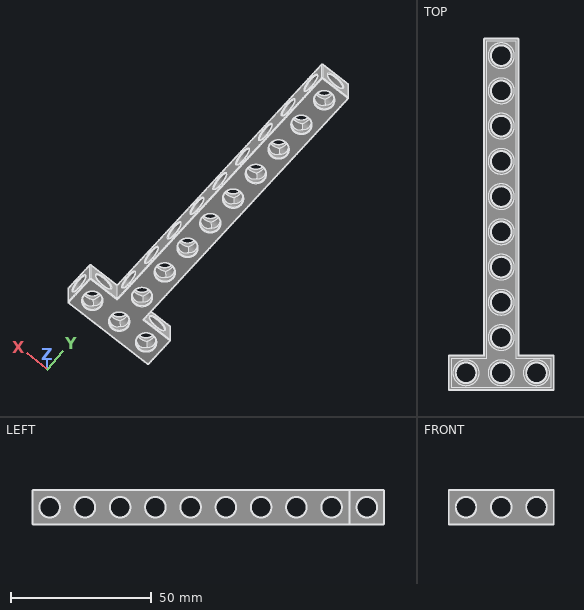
import cadquery as cq

pitch = 12.5
bar_cells = 3
stem_cells = 10
hole_diameter = 7.0
chamfer_size = 0.3
border_width = 1.1
rim_diameter = 9.2
recess_depth = 0.3

half_pitch = pitch / 2
bar_length = bar_cells * pitch
stem_length = stem_cells * pitch
bar_half = bar_length / 2
stem_end = stem_length - half_pitch
hole_radius = hole_diameter / 2
mouth_radius = hole_radius + chamfer_size

bar_centres = [(i * pitch - bar_half + half_pitch, 0) for i in range(bar_cells)]
stem_centres = [(0, i * pitch) for i in range(stem_cells)]
cell_centres = bar_centres + stem_centres[1:]


def tee_prism(inset, bottom, top):
    """T-shaped prism between two heights, its outline moved inwards by inset."""
    stem_half_width = half_pitch - inset
    right_side = [
        (bar_half - inset, -half_pitch + inset),
        (bar_half - inset, half_pitch - inset),
        (stem_half_width, half_pitch - inset),
        (stem_half_width, stem_end - inset),
    ]
    left_side = [(-x, y) for x, y in reversed(right_side)]
    outline = cq.Workplane("XY").workplane(offset=bottom).polyline(right_side + left_side)
    return outline.close().extrude(top - bottom)


def tee_body():
    """T-shaped block with all its convex outer edges bevelled."""
    block = tee_prism(0, -half_pitch, half_pitch)
    inner_corners = cq.selectors.BoxSelector(
        (-pitch, half_pitch - chamfer_size, -chamfer_size),
        (pitch, half_pitch + chamfer_size, chamfer_size),
    )
    return block.edges(-inner_corners).chamfer(chamfer_size)


def top_recess():
    """Shallow panel cut from the top face, leaving a border and a ring round each hole."""
    floor = half_pitch - recess_depth
    panel = tee_prism(border_width, floor, half_pitch)
    rings = cq.Workplane("XY").workplane(offset=floor).pushPoints(cell_centres)
    return panel.cut(rings.circle(rim_diameter / 2).extrude(recess_depth))


def hole_cutter(start, direction, length):
    """Round through hole from start along direction, with a bevelled mouth at each end."""
    end = start + direction * length
    cutter = cq.Solid.makeCylinder(hole_radius, length, start, direction)
    for mouth, inwards in ((start, direction), (end, direction * -1)):
        bevel = cq.Solid.makeCone(mouth_radius, hole_radius, chamfer_size, mouth, inwards)
        cutter = cutter.fuse(bevel)
    return cutter


def vertical_holes():
    up = cq.Vector(0, 0, 1)
    return [hole_cutter(cq.Vector(x, y, -half_pitch), up, pitch) for x, y in cell_centres]


def holes_along_x():
    """Holes across the stem, plus the one running the whole length of the bar."""
    along_x = cq.Vector(1, 0, 0)
    cutters = [hole_cutter(cq.Vector(-bar_half, 0, 0), along_x, bar_length)]
    for x, y in stem_centres[1:]:
        cutters.append(hole_cutter(cq.Vector(x - half_pitch, y, 0), along_x, pitch))
    return cutters


def holes_along_y():
    """Holes across the bar; the middle one runs the whole length of the stem."""
    along_y = cq.Vector(0, 1, 0)
    cutters = []
    for x, y in bar_centres:
        length = stem_length if x == 0 else pitch
        cutters.append(hole_cutter(cq.Vector(x, y - half_pitch, 0), along_y, length))
    return cutters


result = tee_body().cut(top_recess())
for cutter in vertical_holes() + holes_along_x() + holes_along_y():
    result = result.cut(cutter)